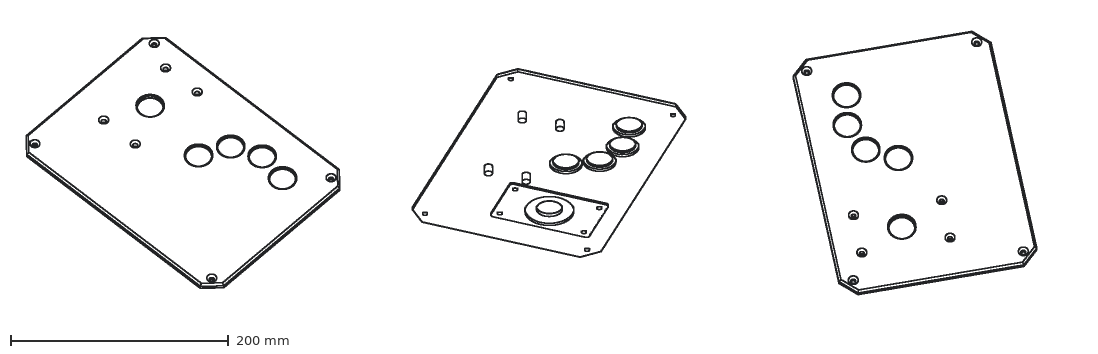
import cadquery as cq
import math

top_center = (0, 0, 0)
plate_length = 250.0
plate_width = 185.0
plate_thickness = 5.0
corner_cut = 15.0
edge_bevel = 2.0
total_height = 13.0

screw_diameter = 4.5
screw_head_diameter = 9.0
countersink_angle = 90.0
corner_screw_x = 112.0
corner_screw_y = 79.5

joystick_x = -65.0
joystick_y = 25.0
shaft_x = -65.37
joystick_screw_pitch_x = 40.0
joystick_screw_pitch_y = 82.5
pad_length = 54.0
pad_width = 96.5
pad_thickness = 1.75
pad_corner_radius = 3.0

shaft_diameter = 24.0
shaft_recess_diameter = 45.0
shaft_wall_thickness = 4.25
button_diameter = 24.05
button_recess_diameter = 30.0
button_wall_thickness = 2.5
opening_bevel = 1.0
button_bevel_depth = 0.5
shaft_bevel_depth = 1.0
button_centers = [(6.15, 14.27), (20.48, 42.02), (49.2, 53.72), (80.0, 48.48)]

standoff_diameter = 7.5
standoff_center_x = 21.7
standoff_center_y = -32.5
standoff_pitch_x = 88.0
standoff_pitch_y = 37.0


def rectangle_corners(center_x, center_y, pitch_x, pitch_y):
    """Centers of four features at the corners of a rectangle."""
    return [
        (center_x + side_x * pitch_x / 2, center_y + side_y * pitch_y / 2)
        for side_x in (-1, 1)
        for side_y in (-1, 1)
    ]


def make_plate():
    """Rectangular plate with cut corners and a bevelled top edge."""
    plate = cq.Workplane("XY").box(plate_length, plate_width, plate_thickness, centered=(True, True, False))
    plate = plate.translate((0, 0, -plate_thickness))
    return plate.edges("|Z").chamfer(corner_cut).faces(">Z").edges().chamfer(edge_bevel)


def make_joystick_pad():
    """Pad with rounded corners, hanging from the underside of the plate."""
    pad = cq.Workplane("XY").box(pad_length, pad_width, pad_thickness, centered=(True, True, False))
    pad = pad.edges("|Z").fillet(pad_corner_radius)
    return pad.translate((joystick_x, joystick_y, -plate_thickness - pad_thickness))


def make_standoffs():
    """Four round posts reaching down to the full height of the part."""
    centers = rectangle_corners(standoff_center_x, standoff_center_y, standoff_pitch_x, standoff_pitch_y)
    posts = cq.Workplane("XY", origin=(0, 0, -total_height)).pushPoints(centers)
    return posts.circle(standoff_diameter / 2).extrude(total_height - plate_thickness)


def cut_screw_holes(body):
    """Countersunk holes at the plate corners and around the joystick."""
    corner_screws = rectangle_corners(0, 0, 2 * corner_screw_x, 2 * corner_screw_y)
    joystick_screws = rectangle_corners(
        joystick_x, joystick_y, joystick_screw_pitch_x, joystick_screw_pitch_y
    )
    top = body.faces(">Z").workplane(origin=top_center).pushPoints(corner_screws + joystick_screws)
    return top.cskHole(screw_diameter, screw_head_diameter, countersink_angle)


def cut_openings(body, centers, diameter, bevel_depth, recess_diameter, wall_thickness):
    """Through openings bevelled on top, recessed from below to leave the given wall thickness."""
    recesses = cq.Workplane("XY", origin=(0, 0, -total_height)).pushPoints(centers)
    recesses = recesses.circle(recess_diameter / 2).extrude(total_height - wall_thickness)
    rim_diameter = diameter + 2 * opening_bevel
    bevel_angle = 2 * math.degrees(math.atan(opening_bevel / bevel_depth))
    top = body.cut(recesses).faces(">Z").workplane(origin=top_center).pushPoints(centers)
    return top.cskHole(diameter, rim_diameter, bevel_angle)


result = make_plate().union(make_joystick_pad()).union(make_standoffs())
result = cut_screw_holes(result)
result = cut_openings(
    result,
    [(shaft_x, joystick_y)],
    shaft_diameter,
    shaft_bevel_depth,
    shaft_recess_diameter,
    shaft_wall_thickness,
)
result = cut_openings(
    result,
    button_centers,
    button_diameter,
    button_bevel_depth,
    button_recess_diameter,
    button_wall_thickness,
)